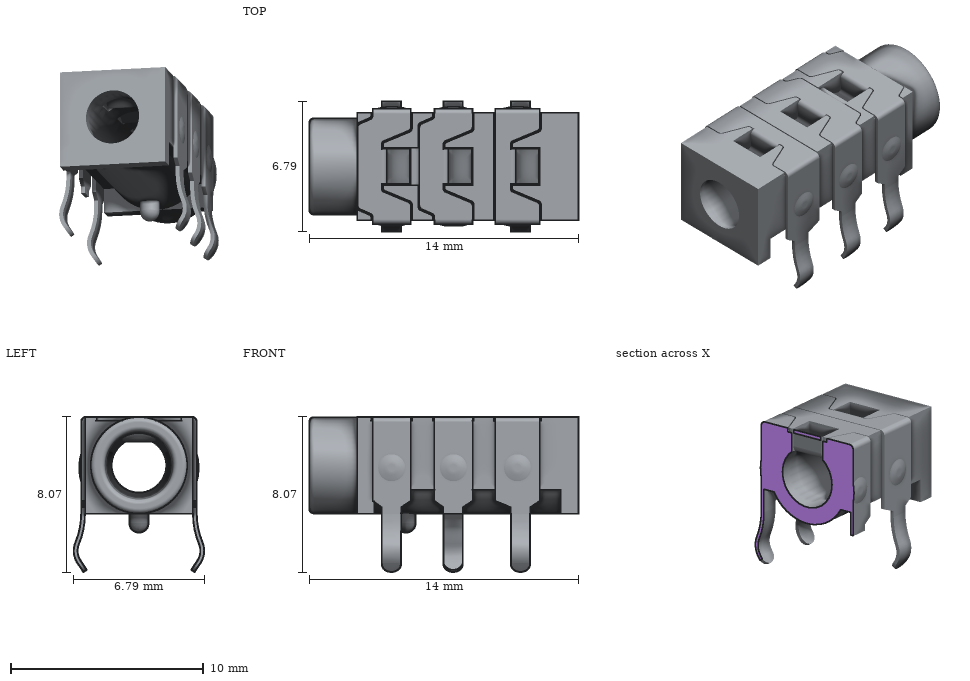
import cadquery as cq
import math


total_length = 14.01
sleeve_length = 2.5
sleeve_radius = 2.51
rim_round = 0.25
body_width = 5.6
top_z = 2.52
bottom_z = -2.52
bore_mouth_radius = 1.78
bore_rear_radius = 1.42

undercut_start_x = 3.38
undercut_end_x = 13.09
undercut_top_z = -1.26

peg_x = 5.03
peg_radius = 0.5
peg_tip_z = -3.5

sheet = 0.21
corner_round = 0.27
outline_round = 0.2
pocket_gap = 0.07
contact_half_width = body_width / 2 + sheet

CONTACTS = [
    (3.29, 5.28, True, True),
    (6.5, 8.49, True, False),
    (9.67, 11.99, False, True),
]
tongue_setback = 0.03
tongue_length = CONTACTS[0][0] - sleeve_length - tongue_setback
tongue_root_y = 2.51
tongue_tip_y = 2.17
notch_depth = 1.51
notch_outer_y = 1.9
notch_inner_y = 1.27

leg_width = 1.01
shoulder_z = -1.85
neck_z = -2.19
flare_angle = 22.6
flare_drop = 1.53
knee_radius = 1.04
toe_angle = 34.0
toe_length = 0.56
rivet_z = -0.13
rivet_radius = 0.7
rivet_flat_radius = 0.21
rivet_height = 0.08
rivet_dome_fraction = 0.7

full_round = 0.999

window_half_width = 0.98
finger_half_width = 0.91
finger_drop_angle = 90.0
finger_rise_angle = 21.0
finger_root_radius = 0.15
finger_tip_radius = 0.27
finger_low_z = 1.22
finger_end_gap = 0.01



def bent_path(plane, start, heading, moves):
    """Smooth centre line of a bent sheet in the given plane, setting off at a heading in degrees.

    Each move is (length, 0) for a straight run or (radius, turn in degrees) for a bend.
    """
    path = cq.Workplane(plane).moveTo(*start)
    x, y = start
    for size, turn in moves:
        if turn == 0:
            x += size * math.cos(math.radians(heading))
            y += size * math.sin(math.radians(heading))
            path = path.lineTo(x, y)
            continue
        bend_points = []
        for part_turn in (turn / 2, turn):
            chord = 2 * size * math.sin(math.radians(abs(part_turn)) / 2)
            chord_heading = math.radians(heading + part_turn / 2)
            bend_points.append(
                (x + chord * math.cos(chord_heading), y + chord * math.sin(chord_heading))
            )
        path = path.threePointArc(*bend_points)
        x, y = bend_points[-1]
        heading += turn
    return path


def make_sleeve():
    return cq.Workplane("YZ").circle(sleeve_radius).extrude(sleeve_length)


def make_bore():
    """Tapered bore through the whole jack."""
    return (
        cq.Workplane("YZ").circle(bore_mouth_radius)
        .workplane(offset=total_length).circle(bore_rear_radius)
        .loft(ruled=True)
    )


def make_block():
    """Rectangular body whose lower sides are rounded about the bore axis."""
    block_length = total_length - sleeve_length
    block = (
        cq.Workplane("XY")
        .box(block_length, body_width, top_z - bottom_z, centered=(False, True, False))
        .translate((sleeve_length, 0, bottom_z))
    )
    undercut_length = undercut_end_x - undercut_start_x
    undercut = (
        cq.Workplane("XY")
        .box(undercut_length, body_width, undercut_top_z - bottom_z, centered=(False, True, False))
        .translate((undercut_start_x, 0, bottom_z))
    )
    core = (
        cq.Workplane("YZ").workplane(offset=undercut_start_x)
        .circle(-bottom_z).extrude(undercut_length)
    )
    return block.cut(undercut.cut(core))


def make_peg():
    """Round-ended peg under the body."""
    peg_root_z = bottom_z + 2 * sheet
    return (
        cq.Workplane("XY").workplane(offset=peg_tip_z).center(peg_x, 0)
        .circle(peg_radius).extrude(peg_root_z - peg_tip_z)
        .faces("<Z").edges().fillet(peg_radius * full_round)
    )


def make_top_plate(left, right, has_tongue, gap=0.0):
    """Flat top of a contact, widened all round by a gap when used as its pocket."""
    notch_x = right - notch_depth
    rear_edge = [(right, notch_outer_y), (notch_x, notch_inner_y)]
    front_edge = []
    if has_tongue:
        front_edge = [(left - tongue_length, tongue_tip_y), (left, tongue_root_y)]
    half_outline = [(right, contact_half_width)] + rear_edge
    other_half = front_edge + [(left, contact_half_width)]
    mirrored_rear = [(x, -y) for x, y in reversed(half_outline)]
    mirrored_front = [(x, -y) for x, y in reversed(other_half)]
    plate = (
        cq.Workplane("XY").workplane(offset=top_z - sheet)
        .polyline(half_outline + mirrored_rear + mirrored_front + other_half).close()
        .extrude(sheet)
    )
    inner_corners = cq.selectors.BoxSelector(
        (left - 2 * tongue_length, -contact_half_width + sheet, 0),
        (right + sheet, contact_half_width - sheet, 2 * top_z),
    )
    plate = plate.edges("|Z").edges(inner_corners).fillet(outline_round)
    if gap == 0:
        return plate
    return plate.faces("<Z").wires().toPending().offset2D(gap).extrude(sheet, combine=False)


def make_side_plate(left, right, side):
    """Plate on one side of the body, tapering to the leg and running to the body's bottom."""
    leg_left = right - notch_depth
    leg_right = leg_left + leg_width
    plate = (
        cq.Workplane("XZ")
        .polyline([
            (left, top_z), (right, top_z), (right, shoulder_z), (leg_right, neck_z),
            (leg_right, bottom_z), (leg_left, bottom_z), (leg_left, neck_z), (left, shoulder_z),
        ])
        .close().extrude(-sheet)
        .translate((0, body_width / 2, 0))
    )
    return plate if side > 0 else plate.mirror("XZ")


def make_leg(right, side):
    """Springy leg that flares out, bends back in and ends in a rounded toe."""
    leg_x = right - notch_depth + leg_width / 2
    flare_radius = flare_drop / math.sin(math.radians(flare_angle))
    start = (body_width / 2 + sheet / 2, bottom_z)
    path = bent_path("YZ", start, -90, [
        (flare_radius, flare_angle),
        (knee_radius, -flare_angle - toe_angle),
        (toe_length, 0),
    ])
    leg = (
        cq.Workplane("XY").workplane(offset=bottom_z).center(0, start[0])
        .rect(leg_width, sheet).sweep(path)
    )
    toe_direction = cq.Vector(
        0, -math.sin(math.radians(toe_angle)), -math.cos(math.radians(toe_angle))
    )
    toe_end = cq.selectors.DirectionMinMaxSelector(toe_direction)
    leg = leg.faces(toe_end).edges("not |X").fillet(leg_width / 2 * full_round)
    leg = leg.translate((leg_x, 0, 0))
    return leg if side > 0 else leg.mirror("XZ")


def make_rivet(x, side):
    """Shallow domed button with a small flat on top."""
    dome_shoulder = (rivet_dome_fraction * rivet_radius, rivet_dome_fraction * rivet_height)
    rivet = (
        cq.Workplane("XY")
        .moveTo(0, -sheet).lineTo(rivet_radius, -sheet).lineTo(rivet_radius, 0)
        .threePointArc(dome_shoulder, (rivet_flat_radius, rivet_height))
        .lineTo(0, rivet_height).close()
        .revolve(360, (0, 0, 0), (0, 1, 0))
        .translate((x, contact_half_width, rivet_z))
    )
    return rivet if side > 0 else rivet.mirror("XZ")


def make_finger(right):
    """Spring finger that drops from the top plate into the bore and rises towards the rear."""
    drop = math.radians(finger_drop_angle)
    rise = math.radians(finger_rise_angle)
    start = (right - notch_depth, top_z - sheet / 2)
    bend_height = (finger_root_radius + finger_tip_radius) * (1 - math.cos(drop))
    drop_length = (start[1] - finger_low_z - sheet / 2 - bend_height) / math.sin(drop)
    rise_start = (
        (finger_root_radius + finger_tip_radius) * math.sin(drop)
        + drop_length * math.cos(drop)
        + finger_tip_radius * math.sin(rise)
    )
    rise_run = notch_depth - finger_end_gap - rise_start
    path = bent_path("XZ", start, 0, [
        (finger_root_radius, -finger_drop_angle),
        (drop_length, 0),
        (finger_tip_radius, finger_drop_angle + finger_rise_angle),
        (rise_run / math.cos(rise), 0),
    ])
    return (
        cq.Workplane("YZ").workplane(offset=start[0]).center(0, start[1])
        .rect(2 * finger_half_width, sheet).sweep(path)
    )


def make_contact(left, right, has_tongue, has_near_leg):
    contact = make_top_plate(left, right, has_tongue)
    for side in (1, -1):
        contact = contact.union(make_side_plate(left, right, side))
    contact = contact.edges("|X and >Z").fillet(corner_round)
    for side in (1, -1):
        contact = contact.union(make_rivet((left + right) / 2, side))
        if side > 0 or has_near_leg:
            contact = contact.union(make_leg(right, side))
    return contact.union(make_finger(right))


def make_window(right):
    """Opening from the top of the body down into the bore."""
    return (
        cq.Workplane("XY")
        .box(notch_depth, 2 * window_half_width, top_z, centered=(False, True, False))
        .translate((right - notch_depth, 0, 0))
    )


def make_link_slot():
    """Shallow slot joining the first window to the pocket of the second contact."""
    slot_start = CONTACTS[0][1] - sheet
    slot_end = CONTACTS[1][0] - tongue_length
    return (
        cq.Workplane("XY")
        .box(slot_end - slot_start, 2 * window_half_width, sheet, centered=(False, True, False))
        .translate((slot_start, 0, top_z - sheet))
    )


result = make_block()
for left, right, has_tongue, _ in CONTACTS:
    result = result.cut(make_top_plate(left, right, has_tongue, pocket_gap))
result = result.union(make_sleeve()).cut(make_bore())
result = result.faces("<X").edges().fillet(rim_round)
for _, right, _, _ in CONTACTS:
    result = result.cut(make_window(right))
result = result.cut(make_link_slot()).union(make_peg())

for contact_layout in CONTACTS:
    result = result.union(make_contact(*contact_layout))